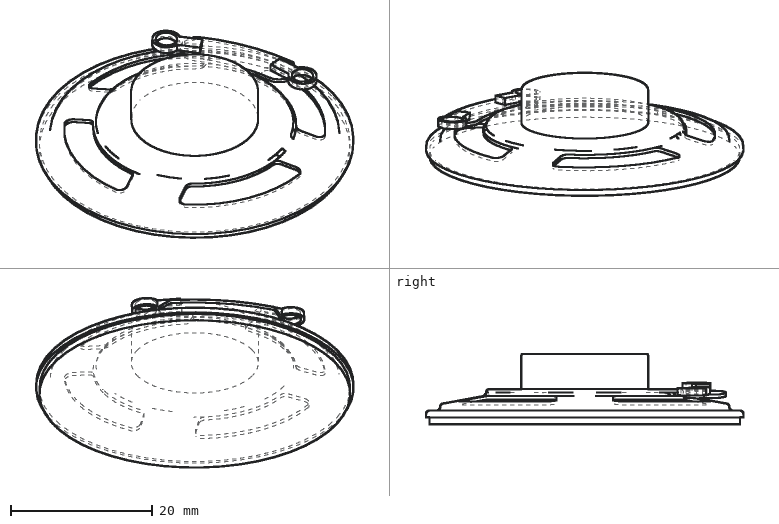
import cadquery as cq
import math

OUTER_DIAMETER = 45.0
TOTAL_HEIGHT = 10.0

RIM_RADIUS = 44.0 / 2
RIM_HEIGHT = 1.0
FLANGE_RADIUS = OUTER_DIAMETER / 2
FLANGE_TOP = 2.0
EDGE_RADIUS = 0.5
STEP_RADIUS = 41.0 / 2
PLATE_RADIUS = 28.0 / 2
PLATE_TOP = 5.0

WINDOW_OUTER_RADIUS = 18.5
WINDOW_DEPTH = 0.5
WINDOW_CORNER = 1.0
SPOKE_HALF_WIDTH = 4.0
WINDOW_COUNT = 4

MAGNET_RADIUS = 9.0
MAGNET_EDGE = 0.25

BOARD_BOTTOM = 4.0
BOARD_THICKNESS = 0.5
BOARD_TOP = BOARD_BOTTOM + BOARD_THICKNESS
BOARD_OFFSET = 0.35
BOARD_TURN = -1.4
BOARD_TURN_CENTRE = 17.1
BOARD_TILT = 2.0
BOARD_OUTER_MIDDLE = 20.02
BOARD_INNER_MIDDLE = 14.9
BOARD_OUTER_CORNER = (7.5, 19.1)
BOARD_SIDE_END = (8.65, 17.1)
BOARD_LOBE_MIDDLE = (7.88, 14.95)
BOARD_LOBE_END = (6.08, 14.2)
BOARD_CORNER_ROUND = 0.68

LUG_RING_RADIUS = 4.0 / 2
LUG_HOLE_RADIUS = 3.0 / 2
LUG_TAIL_WIDTH = 2.02
LUG_TAIL_REACH = 5.0
LUG_HEIGHT = 1.0
LUG_PLACES = [(-10.2, 15.85, 10.6), (10.6, 15.15, 161.0)]

HOLLOW_CENTRE = (PLATE_RADIUS + EDGE_RADIUS, PLATE_TOP - EDGE_RADIUS)
STEP_CENTRE = (STEP_RADIUS - EDGE_RADIUS, FLANGE_TOP + EDGE_RADIUS)
CENTRE_RUN = STEP_CENTRE[0] - HOLLOW_CENTRE[0]
CENTRE_DROP = HOLLOW_CENTRE[1] - STEP_CENTRE[1]
CONE_ANGLE = math.atan2(CENTRE_DROP, CENTRE_RUN) - math.asin(
    2 * EDGE_RADIUS / math.hypot(CENTRE_RUN, CENTRE_DROP)
)


def on_arc(centre, angle):
    """Point on an edge-radius circle, angle in radians."""
    return (centre[0] + EDGE_RADIUS * math.cos(angle), centre[1] + EDGE_RADIUS * math.sin(angle))


CONE_NORMAL = math.pi / 2 - CONE_ANGLE
CONE_BOTTOM = on_arc(STEP_CENTRE, CONE_NORMAL)
CONE_TOP = on_arc(HOLLOW_CENTRE, CONE_NORMAL + math.pi)


def make_frame_body():
    hollow_middle = on_arc(HOLLOW_CENTRE, math.pi + CONE_NORMAL / 2)
    step_middle = on_arc(STEP_CENTRE, CONE_NORMAL / 2)
    foot_centre = (STEP_RADIUS + EDGE_RADIUS, FLANGE_TOP + EDGE_RADIUS)
    foot_middle = on_arc(foot_centre, math.radians(225))
    flange_centre = (FLANGE_RADIUS - EDGE_RADIUS, FLANGE_TOP - EDGE_RADIUS)
    flange_middle = on_arc(flange_centre, math.radians(45))
    plate_centre = (PLATE_RADIUS - EDGE_RADIUS, PLATE_TOP - EDGE_RADIUS)
    plate_middle = on_arc(plate_centre, math.radians(45))
    profile = (
        cq.Workplane("XZ")
        .moveTo(0, 0)
        .lineTo(RIM_RADIUS, 0)
        .lineTo(RIM_RADIUS, RIM_HEIGHT)
        .lineTo(FLANGE_RADIUS, RIM_HEIGHT)
        .lineTo(FLANGE_RADIUS, FLANGE_TOP - EDGE_RADIUS)
        .threePointArc(flange_middle, (FLANGE_RADIUS - EDGE_RADIUS, FLANGE_TOP))
        .lineTo(foot_centre[0], FLANGE_TOP)
        .threePointArc(foot_middle, (STEP_RADIUS, foot_centre[1]))
        .threePointArc(step_middle, CONE_BOTTOM)
        .lineTo(*CONE_TOP)
        .threePointArc(hollow_middle, (PLATE_RADIUS, HOLLOW_CENTRE[1]))
        .threePointArc(plate_middle, (plate_centre[0], PLATE_TOP))
        .lineTo(0, PLATE_TOP)
        .close()
    )
    return profile.revolve(360, (0, 0, 0), (0, 1, 0))


def make_window():
    """Cutter for the window in the +X +Y quarter, with a floor parallel to the cone."""
    inner_radius = CONE_TOP[0]
    quarter = (
        cq.Workplane("XY")
        .rect(OUTER_DIAMETER, OUTER_DIAMETER, centered=False)
        .extrude(PLATE_TOP)
        .translate((SPOKE_HALF_WIDTH, SPOKE_HALF_WIDTH, 0))
    )
    sector = cq.Workplane("XY").circle(WINDOW_OUTER_RADIUS).circle(inner_radius).extrude(PLATE_TOP)
    sector = sector.intersect(quarter).edges("|Z").fillet(WINDOW_CORNER)
    floor_top = CONE_TOP[1] - WINDOW_DEPTH
    floor_bottom = CONE_BOTTOM[1] - WINDOW_DEPTH
    above_floor = (
        cq.Workplane("XZ")
        .polyline([
            (inner_radius, floor_top),
            (CONE_BOTTOM[0], floor_bottom),
            (CONE_BOTTOM[0], PLATE_TOP),
            (inner_radius, PLATE_TOP),
        ])
        .close()
        .revolve(360, (0, 0, 0), (0, 1, 0))
    )
    return sector.intersect(above_floor)


def make_frame(board):
    """Frame with its windows, relieved where the tilted board rests on the cone."""
    body = make_frame_body()
    window = make_window()
    for index in range(WINDOW_COUNT):
        body = body.cut(window.rotate((0, 0, 0), (0, 0, 1), index * 360 / WINDOW_COUNT))
    return body.cut(board)


def make_magnet():
    magnet = cq.Workplane("XY").workplane(offset=PLATE_TOP).circle(MAGNET_RADIUS)
    return magnet.extrude(TOTAL_HEIGHT - PLATE_TOP).faces(">Z").edges().fillet(MAGNET_EDGE)


def tilt(body):
    """Lean the board or a lug about the Y direction at the board's underside."""
    return body.rotate((0, 0, BOARD_BOTTOM), (0, 1, BOARD_BOTTOM), BOARD_TILT)


def mirrored(point):
    return (-point[0], point[1])


def make_board():
    board = (
        cq.Workplane("XY")
        .workplane(offset=BOARD_BOTTOM)
        .moveTo(*mirrored(BOARD_OUTER_CORNER))
        .threePointArc((0, BOARD_OUTER_MIDDLE), BOARD_OUTER_CORNER)
        .lineTo(*BOARD_SIDE_END)
        .threePointArc(BOARD_LOBE_MIDDLE, BOARD_LOBE_END)
        .threePointArc((0, BOARD_INNER_MIDDLE), mirrored(BOARD_LOBE_END))
        .threePointArc(mirrored(BOARD_LOBE_MIDDLE), mirrored(BOARD_SIDE_END))
        .close()
        .extrude(BOARD_THICKNESS)
    )
    corner_edges = cq.selectors.BoxSelector(
        (-OUTER_DIAMETER, BOARD_SIDE_END[1] + 0.45, 0),
        (OUTER_DIAMETER, OUTER_DIAMETER, TOTAL_HEIGHT),
    )
    board = board.edges("|Z").edges(corner_edges).fillet(BOARD_CORNER_ROUND)
    board = board.rotate((0, BOARD_TURN_CENTRE, 0), (0, BOARD_TURN_CENTRE, 1), BOARD_TURN)
    return tilt(board.translate((BOARD_OFFSET, 0, 0)))


def make_lug(x, y, tail_angle):
    """Ring with a straight tail lying on the board."""
    ring = cq.Workplane("XY").circle(LUG_RING_RADIUS).extrude(LUG_HEIGHT)
    tail = cq.Workplane("XY").center(LUG_TAIL_REACH / 2, 0).rect(LUG_TAIL_REACH, LUG_TAIL_WIDTH)
    hole = cq.Workplane("XY").circle(LUG_HOLE_RADIUS).extrude(LUG_HEIGHT)
    lug = ring.union(tail.extrude(LUG_HEIGHT)).cut(hole)
    return tilt(lug.rotate((0, 0, 0), (0, 0, 1), tail_angle).translate((x, y, BOARD_TOP)))


board = make_board()
frame = make_frame(board)
magnet = make_magnet()
lugs = [make_lug(*place) for place in LUG_PLACES]

result = cq.Compound.makeCompound([
    frame.solids().val(),
    magnet.solids().val(),
    board.solids().val(),
    *[lug.solids().val() for lug in lugs],
])